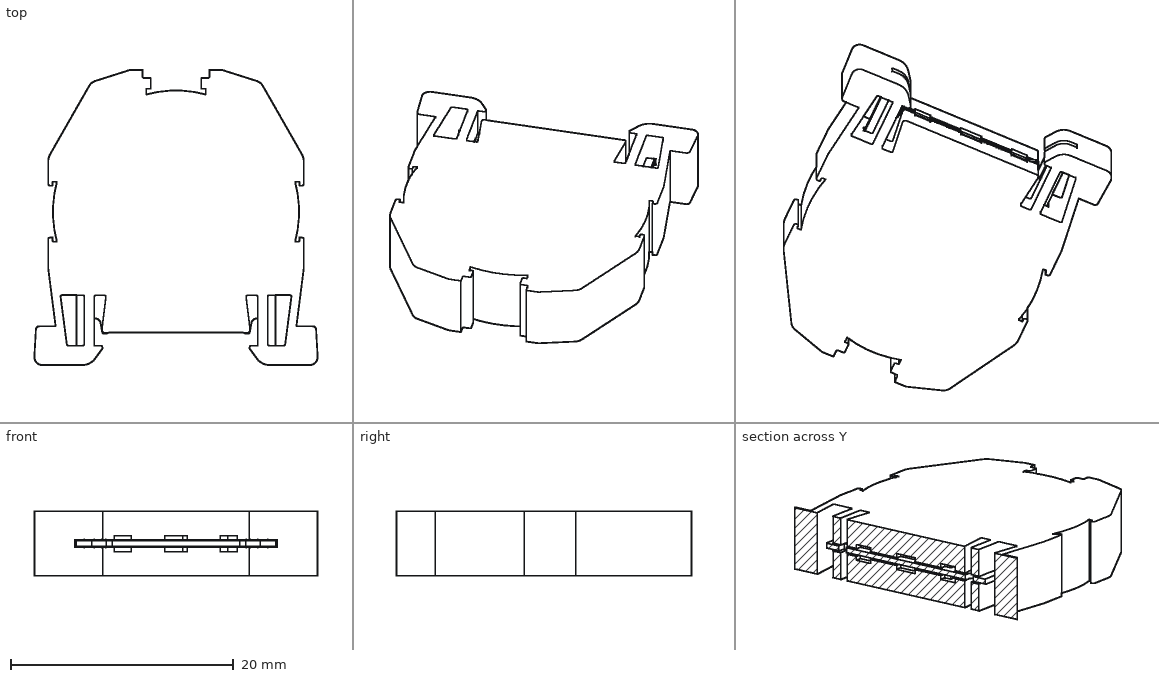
import cadquery as cq

width = 25.42
length = 26.5
thickness = 5.8
top_y = length / 2
foot_bottom_y = -length / 2
foot_half_width = width / 2

top_flat_half = 4.13
notch_mouth_half = 3.0
notch_lip_half = 2.25
notch_floor_half = 2.65
notch_step_y = 12.53
notch_lip_y = 11.53
notch_floor_y = 11.05
crown = 0.36

flank_x = 11.48
shoulder_x, shoulder_y = 7.61, 12.14
flank_top_y = 5.36
shoulder_radius = 1.0
flank_radius = 1.5
taper_top_y = -4.51
taper_radius = 2.0
taper_end_x = 10.81

recess_x = 10.69
recess_lip_x = 11.07
recess_upper_y = 3.2
recess_upper_lip_y = 2.84
recess_lower_y = -2.17
recess_lower_lip_y = -1.79
recess_middle_y = (recess_upper_y + recess_lower_y) / 2
lip_radius = 0.12
flank_lip_radius = 0.2

foot_top_y = -9.75
foot_top_x = 12.56
foot_heel_overhang = 0.05
foot_heel_x = foot_half_width + foot_heel_overhang
foot_top_radius = 0.3
foot_heel_radius = 0.75
hook_top_y = -11.48
hook_tip_x = 6.4
hook_root_x = 7.67
hook_tip_radius = 0.2
hook_toe_radius = 1.5

slit_top_y = -6.97
leg_inner_x = 7.33
leg_outer_x = 8.23
slit_inner_x = 6.27
slit_corner_radius = 0.15
rail_face_y = -10.33
rail_face_half = 6.68
rail_corner_radius = 0.25
window_top_x = 10.36
window_bottom_x = 9.77
window_corner_radius = 0.12

slot_height = 0.7
slot_half_width = 9.09
slot_end_y = -6.5
plate_thickness = 0.5
plate_half_width = 8.93
plate_leg_inner_x = 7.55
plate_leg_end_y = -11.75
plate_leg_radius = 0.3
plate_web_y = -9.07
plate_fillet_x = 6.85
plate_inner_radius = 0.45
plate_overlap = 0.5
plate_face_y = rail_face_y + 0.12
plate_toe_x = 6.6
plate_toe_y = -10.43
plate_toe_radius = 0.2
plate_toe_flat_x = 6.25
plate_toe_end_x = 5.7

pocket_height = 1.44
pocket_spans = [(-5.54, -4.0), (-1.03, 0.99), (3.96, 5.5)]
pocket_depth = 1.0
pocket_deep_depth = 1.5
pocket_steps = [(0.6, 0.99), (4.63, 5.5)]

edge_reach = 0.01


def fillet_corners(solid, points, radius):
    """Fillet the edges parallel to Z that pass through the given XY points, on both sides of X = 0."""
    selector = None
    for x, y in points:
        for side in (x, -x):
            box = cq.selectors.BoxSelector(
                (side - edge_reach, y - edge_reach, -thickness),
                (side + edge_reach, y + edge_reach, thickness),
            )
            selector = box if selector is None else selector + box
    return solid.edges("|Z").edges(selector).fillet(radius)


def prism(outline, height):
    """Close an outline and extrude it by the given height, centred on Z = 0."""
    return outline.close().extrude(height / 2, both=True)


def mirrored(body):
    """Join a body with its mirror image across X = 0."""
    return body.union(body.mirror("YZ"))


def make_housing():
    half = (
        cq.Workplane("XY")
        .moveTo(0, rail_face_y)
        .lineTo(rail_face_half, rail_face_y)
        .lineTo(slit_inner_x, slit_top_y)
        .lineTo(leg_inner_x, slit_top_y)
        .lineTo(leg_inner_x, hook_top_y)
        .lineTo(hook_tip_x, hook_top_y)
        .lineTo(hook_root_x, foot_bottom_y)
        .lineTo(foot_heel_x, foot_bottom_y)
        .lineTo(foot_top_x, foot_top_y)
        .lineTo(taper_end_x, foot_top_y)
        .lineTo(flank_x, taper_top_y)
        .lineTo(flank_x, recess_lower_lip_y)
        .lineTo(recess_lip_x, recess_lower_lip_y)
        .lineTo(recess_lip_x, recess_lower_y)
        .lineTo(recess_x, recess_lower_y)
        .threePointArc((recess_x + crown, recess_middle_y), (recess_x, recess_upper_y))
        .lineTo(recess_lip_x, recess_upper_y)
        .lineTo(recess_lip_x, recess_upper_lip_y)
        .lineTo(flank_x, recess_upper_lip_y)
        .lineTo(flank_x, flank_top_y)
        .lineTo(shoulder_x, shoulder_y)
        .lineTo(top_flat_half, top_y)
        .lineTo(0, top_y)
    )
    body = mirrored(prism(half, thickness)).cut(make_notch())
    body = fillet_corners(body, [(shoulder_x, shoulder_y)], shoulder_radius)
    body = fillet_corners(body, [(flank_x, flank_top_y)], flank_radius)
    body = fillet_corners(body, [(flank_x, taper_top_y)], taper_radius)
    flank_lips = [(flank_x, recess_upper_lip_y), (flank_x, recess_lower_lip_y)]
    body = fillet_corners(body, flank_lips, flank_lip_radius)
    body = fillet_corners(body, [(foot_top_x, foot_top_y)], foot_top_radius)
    body = fillet_corners(body, [(foot_heel_x, foot_bottom_y)], foot_heel_radius)
    body = fillet_corners(body, [(hook_root_x, foot_bottom_y)], hook_toe_radius)
    body = fillet_corners(body, [(hook_tip_x, hook_top_y)], hook_tip_radius)
    slit_corners = [(slit_inner_x, slit_top_y), (leg_inner_x, slit_top_y)]
    body = fillet_corners(body, slit_corners, slit_corner_radius)
    body = fillet_corners(body, [(rail_face_half, rail_face_y)], rail_corner_radius)
    lips = [
        (recess_lip_x, recess_upper_lip_y),
        (recess_lip_x, recess_lower_y),
        (notch_mouth_half, notch_step_y),
        (notch_lip_half, notch_step_y),
        (notch_lip_half, notch_lip_y),
    ]
    return fillet_corners(body, lips, lip_radius)


def make_notch():
    profile = (
        cq.Workplane("XY")
        .moveTo(-notch_floor_half, notch_floor_y)
        .threePointArc((0, notch_floor_y + crown), (notch_floor_half, notch_floor_y))
        .lineTo(notch_floor_half, notch_lip_y)
        .lineTo(notch_lip_half, notch_lip_y)
        .lineTo(notch_lip_half, notch_step_y)
        .lineTo(notch_mouth_half, notch_step_y)
        .lineTo(notch_mouth_half, top_y)
        .lineTo(-notch_mouth_half, top_y)
        .lineTo(-notch_mouth_half, notch_step_y)
        .lineTo(-notch_lip_half, notch_step_y)
        .lineTo(-notch_lip_half, notch_lip_y)
        .lineTo(-notch_floor_half, notch_lip_y)
    )
    return prism(profile, thickness)


def make_windows():
    profile = (
        cq.Workplane("XY")
        .moveTo(leg_outer_x, slit_top_y)
        .lineTo(window_top_x, slit_top_y)
        .lineTo(window_bottom_x, hook_top_y)
        .lineTo(leg_outer_x, hook_top_y)
    )
    window = prism(profile, thickness).edges("|Z").fillet(window_corner_radius)
    return mirrored(window)


def make_box(x_start, x_end, y_start, y_end, height):
    """Make a box between the given X and Y limits, centred on Z = 0."""
    size_x = x_end - x_start
    size_y = y_end - y_start
    return cq.Workplane("XY").box(size_x, size_y, height).translate(
        ((x_start + x_end) / 2, (y_start + y_end) / 2, 0)
    )


def make_slot():
    return make_box(-slot_half_width, slot_half_width, foot_bottom_y, slot_end_y, slot_height)


def make_pockets():
    pockets = cq.Workplane("XY")
    for spans, depth in ((pocket_spans, pocket_depth), (pocket_steps, pocket_deep_depth)):
        for x_start, x_end in spans:
            pockets = pockets.union(
                make_box(x_start, x_end, rail_face_y, rail_face_y + depth, pocket_height)
            )
    return pockets


def make_plate():
    plate_back_y = slot_end_y + plate_overlap
    half = (
        cq.Workplane("XY")
        .moveTo(0, plate_back_y)
        .lineTo(plate_half_width, plate_back_y)
        .lineTo(plate_half_width, plate_leg_end_y)
        .lineTo(plate_leg_inner_x, plate_leg_end_y)
        .lineTo(plate_leg_inner_x, plate_web_y)
        .lineTo(plate_fillet_x, plate_web_y)
        .lineTo(plate_toe_x, plate_toe_y)
        .lineTo(plate_toe_flat_x, plate_toe_y)
        .lineTo(plate_toe_end_x, plate_face_y)
        .lineTo(0, plate_face_y)
    )
    plate = mirrored(prism(half, plate_thickness))
    leg_corners = [(plate_half_width, plate_leg_end_y), (plate_leg_inner_x, plate_leg_end_y)]
    plate = fillet_corners(plate, leg_corners, plate_leg_radius)
    plate = fillet_corners(plate, [(plate_fillet_x, plate_web_y)], plate_inner_radius)
    return fillet_corners(plate, [(plate_toe_x, plate_toe_y)], plate_toe_radius)


housing = make_housing().cut(make_windows()).cut(make_slot()).cut(make_pockets())
result = housing.union(make_plate())